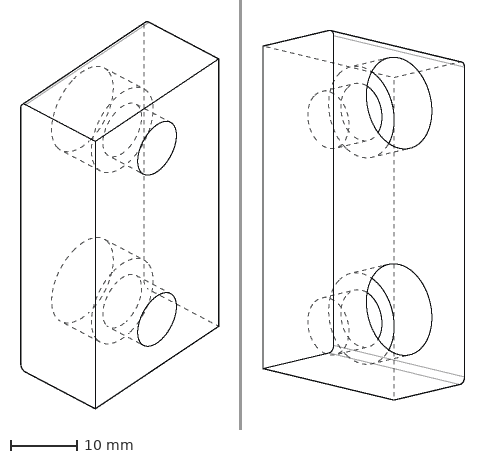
import cadquery as cq

thickness = 15.0
width = 28.0
height = 50.0
edge_radius = 1.0

hole_diameter = 8.8
counterbore_diameter = 14.0
counterbore_depth = 8.0
hole_spacing = 32.0


def make_block():
    """Block with the top and bottom edges of its -X face rounded."""
    block = cq.Workplane("XY").box(thickness, width, height)
    return block.faces("<X").edges("|Y").fillet(edge_radius)


def drill_holes(block):
    """Counterbored through holes, spaced evenly about the middle of the height."""
    return (
        block.faces("<X")
        .workplane(origin=(-thickness / 2, 0, 0))
        .pushPoints([(0, -hole_spacing / 2), (0, hole_spacing / 2)])
        .cboreHole(hole_diameter, counterbore_diameter, counterbore_depth)
    )


result = drill_holes(make_block())